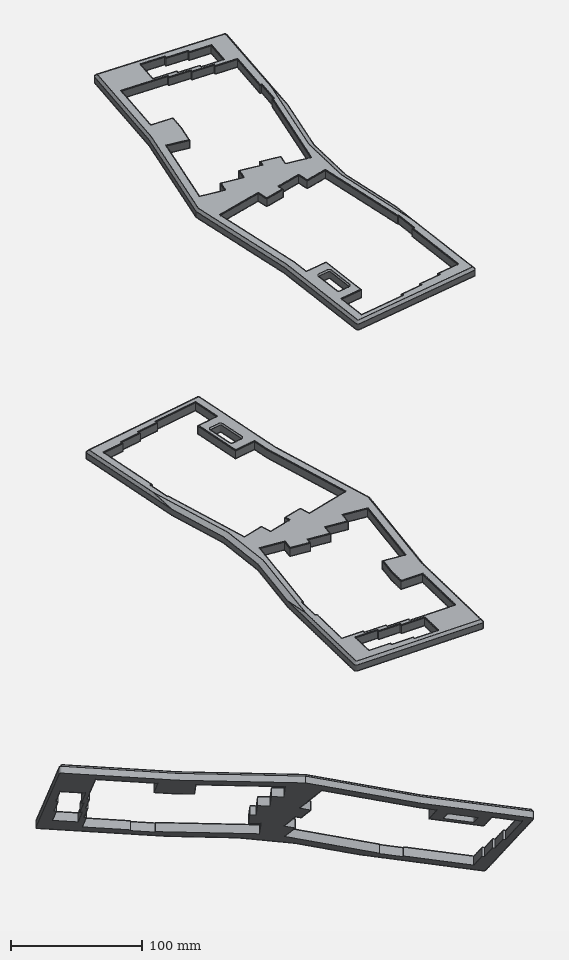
import cadquery as cq
import math

LENGTH = 372.7
DEPTH = 140.0
HEIGHT = 8.0
BEVEL_HEIGHT = 2.2
BEVEL_WIDTH = 2.0
BACK_BEVEL_WIDTH = 4.5
CORNER_RADIUS = 2.05

INNER_ANGLE = 11
OUTER_ANGLE = 5

FRONT_TIP = -DEPTH / 2
MIDDLE_BACK = 51.0
OUTER_FRONT = -59.5
INNER_FRONT = FRONT_TIP * math.cos(math.radians(INNER_ANGLE))
INNER_BACK = 46.0

OUTER_SINE = math.sin(math.radians(OUTER_ANGLE))
OUTER_COSINE = math.cos(math.radians(OUTER_ANGLE))
FRONT_CORNER_V = OUTER_FRONT + CORNER_RADIUS
SIDE_CORNER_U = (LENGTH / 2 - CORNER_RADIUS + FRONT_CORNER_V * OUTER_SINE) / OUTER_COSINE
BACK_CORNER_V = (DEPTH / 2 - CORNER_RADIUS - SIDE_CORNER_U * OUTER_SINE) / OUTER_COSINE
OUTER_SIDE = SIDE_CORNER_U + CORNER_RADIUS
OUTER_BACK = BACK_CORNER_V + CORNER_RADIUS

OPENING_BEVEL = 0.55

PITCH = 19.0
ROWS = 5
CLEARANCE = 0.7
INNER_GRID_FRONT = -59.3
OUTER_GRID_FRONT = -50.0
RELIEF_DEPTH = 1.5
SIDE_STEP = 2.0

RIGHT_FRONT_ROW = 4.5
LEFT_FRONT_ROW = 1.5
RIGHT_ROW_SHIFTS = (0, 0, 0.5, 0.25, 0.75)
LEFT_ROW_SHIFTS = (0, 0.5, 1, 1.25, 0.75)

RIGHT_OPENING_SIDE = 175.5
LEFT_OPENING_SIDE = 153.0

RIGHT_BLOCK = (106.5, 151.0)
LEFT_BLOCK_INNER_END = 69.7
LEFT_BLOCK_OUTER_END = 104.7

RIGHT_RELIEF_START = 94.3
LEFT_RELIEF_START = 91.0

SLOT_CELLS = 3
SLOT_FIRST_ROW = 1.5
SLOT_START = 155.8
SLOT_WIDTH = 19.8

WINDOW_CENTRE = (129.0, -41.5)
WINDOW_LENGTH = 24.5
WINDOW_WIDTH = 10.5
WINDOW_CORNER_RADIUS = 1.0
WINDOW_BEVEL = 1.0


def field_point(side, angle, u, v):
    """Plate position of (u, v) in a field; side is 1 for the right half and -1 for the left."""
    turn = math.radians(angle)
    x = u * math.cos(turn) - v * math.sin(turn)
    y = u * math.sin(turn) + v * math.cos(turn)
    return side * x, y


def inner(side, u, v):
    return field_point(side, INNER_ANGLE, u, v)


def outer(side, u, v):
    return field_point(side, OUTER_ANGLE, u, v)


def bend(side, inner_v, outer_v):
    """Where a line along the inner field meets a line along the outer field."""
    turn = math.radians(INNER_ANGLE - OUTER_ANGLE)
    u = (outer_v - inner_v * math.cos(turn)) / math.sin(turn)
    return inner(side, u, inner_v)


def inner_row_line(row):
    return INNER_GRID_FRONT + row * PITCH


def outer_row_line(row):
    return OUTER_GRID_FRONT + row * PITCH


def half_outline(inset, back_inset, radius, z):
    """Closed wire of the plate's right half, moved inwards, with rounded side corners."""
    front = OUTER_FRONT + inset
    back = OUTER_BACK - inset
    end = OUTER_SIDE - inset
    inner_front = INNER_FRONT + inset
    inner_back = INNER_BACK - back_inset
    middle_back = MIDDLE_BACK - back_inset
    turn = math.radians(INNER_ANGLE)
    front_tip = inner_front / math.cos(turn)
    middle_end = (middle_back - inner_back / math.cos(turn)) / math.tan(turn)
    gap = radius * (1 - math.sqrt(0.5))
    return (
        cq.Workplane("XY", origin=(0, 0, z))
        .moveTo(0, front_tip)
        .lineTo(*bend(1, inner_front, front))
        .lineTo(*outer(1, end - radius, front))
        .threePointArc(outer(1, end - gap, front + gap), outer(1, end, front + radius))
        .lineTo(*outer(1, end, back - radius))
        .threePointArc(outer(1, end - gap, back - gap), outer(1, end - radius, back))
        .lineTo(*bend(1, inner_back, back))
        .lineTo(middle_end, middle_back)
        .lineTo(0, middle_back)
        .close()
    )


def plate():
    """Solid plate with a bevelled top rim, before the openings are cut."""
    shoulder = HEIGHT - BEVEL_HEIGHT
    base = half_outline(0, 0, CORNER_RADIUS, 0).extrude(shoulder)
    low_rim = half_outline(0, 0, CORNER_RADIUS, shoulder).val()
    top_radius = CORNER_RADIUS - BEVEL_WIDTH
    top_rim = half_outline(BEVEL_WIDTH, BACK_BEVEL_WIDTH, top_radius, HEIGHT).val()
    crown = cq.Solid.makeLoft([low_rim, top_rim], True)
    half = base.union(cq.Workplane(crown))
    return half.union(half.mirror("YZ"))


def prism(points):
    return cq.Workplane("XY").polyline(points).close().extrude(HEIGHT)


def bridge_steps(side, front_row_end, shifts):
    """Stepped end of the rows at the middle bridge, from the back to the front."""
    ends = [front_row_end + shift * PITCH for shift in shifts]
    points = [inner(side, ends[0], inner_row_line(0) - CLEARANCE)]
    for row in range(1, ROWS):
        before, after = ends[row - 1], ends[row]
        if before == after:
            continue
        v = inner_row_line(row) + (CLEARANCE if before < after else -CLEARANCE)
        points += [inner(side, before, v), inner(side, after, v)]
    points.append(inner(side, ends[-1], inner_row_line(ROWS) + CLEARANCE))
    return points[::-1]


def side_steps(side, front_row_end):
    """Stepped outer end of the rows, from the front to the back; the front two rows align."""
    u = front_row_end
    points = [outer(side, u, outer_row_line(0) - CLEARANCE)]
    for row in range(2, ROWS):
        v = outer_row_line(row) + CLEARANCE
        points += [outer(side, u, v), outer(side, u - SIDE_STEP, v)]
        u -= SIDE_STEP
    points.append(outer(side, u, outer_row_line(ROWS) + CLEARANCE))
    return points


def back_rail(side, relief_start):
    """Back edge of an opening from its outer end to the bend, with the one-cell relief."""
    rail = outer_row_line(ROWS) + CLEARANCE
    relief = rail + RELIEF_DEPTH
    inner_rail = inner_row_line(ROWS) + CLEARANCE
    turn = math.radians(INNER_ANGLE - OUTER_ANGLE)
    inner_end = (inner_rail + relief_start * math.sin(turn)) / math.cos(turn)
    return [
        outer(side, relief_start + PITCH, rail),
        outer(side, relief_start + PITCH, relief),
        outer(side, relief_start, relief),
        outer(side, relief_start, inner_end),
    ]


def right_opening():
    front = outer_row_line(0) - CLEARANCE
    block_top = outer_row_line(1) - CLEARANCE
    start, end = RIGHT_BLOCK
    points = bridge_steps(1, RIGHT_FRONT_ROW, RIGHT_ROW_SHIFTS)
    points.append(bend(1, inner_row_line(0) - CLEARANCE, front))
    points += [
        outer(1, start, front),
        outer(1, start, block_top),
        outer(1, end, block_top),
        outer(1, end, front),
    ]
    points += side_steps(1, RIGHT_OPENING_SIDE)
    points += back_rail(1, RIGHT_RELIEF_START)
    return prism(points)


def left_opening():
    inner_front = inner_row_line(0) - CLEARANCE
    outer_front = outer_row_line(0) - CLEARANCE
    inner_top = inner_row_line(1) - CLEARANCE
    outer_top = outer_row_line(1) - CLEARANCE
    points = bridge_steps(-1, LEFT_FRONT_ROW, LEFT_ROW_SHIFTS)
    points += [
        inner(-1, LEFT_BLOCK_INNER_END, inner_front),
        inner(-1, LEFT_BLOCK_INNER_END, inner_top),
        bend(-1, inner_top, outer_top),
        outer(-1, LEFT_BLOCK_OUTER_END, outer_top),
        outer(-1, LEFT_BLOCK_OUTER_END, outer_front),
    ]
    points += side_steps(-1, LEFT_OPENING_SIDE)
    points += back_rail(-1, LEFT_RELIEF_START)
    return prism(points)


def side_slot():
    """Three cells half a row off the grid, stepped like the side of the opening."""
    inner_edge = []
    outer_edge = []
    low = outer_row_line(SLOT_FIRST_ROW) - CLEARANCE
    u = SLOT_START
    for cell in range(1, SLOT_CELLS + 1):
        high = outer_row_line(SLOT_FIRST_ROW + cell) + CLEARANCE
        inner_edge += [outer(-1, u, low), outer(-1, u, high)]
        outer_edge += [outer(-1, u + SLOT_WIDTH, low), outer(-1, u + SLOT_WIDTH, high)]
        low = high
        u -= SIDE_STEP
    return prism(inner_edge + outer_edge[::-1])


def block_window():
    x, y = outer(1, *WINDOW_CENTRE)
    return (
        cq.Workplane("XY")
        .rect(WINDOW_LENGTH, WINDOW_WIDTH)
        .extrude(HEIGHT)
        .edges("|Z")
        .fillet(WINDOW_CORNER_RADIUS)
        .rotate((0, 0, 0), (0, 0, 1), OUTER_ANGLE)
        .translate((x, y, 0))
    )


def bevel_rims(body, cutters, bevel):
    """Cut the openings through the body and bevel their rims on the top face."""
    for cutter in cutters:
        rim = cutter.faces(">Z").wires().val()
        wide = rim.offset2D(bevel, "intersection")[0]
        narrow = rim.translate(cq.Vector(0, 0, -bevel))
        flare = cq.Solid.makeLoft([narrow, wide], True)
        body = body.cut(cutter).cut(cq.Workplane(flare))
    return body


result = bevel_rims(plate(), [right_opening(), left_opening(), side_slot()], OPENING_BEVEL)
result = bevel_rims(result, [block_window()], WINDOW_BEVEL)